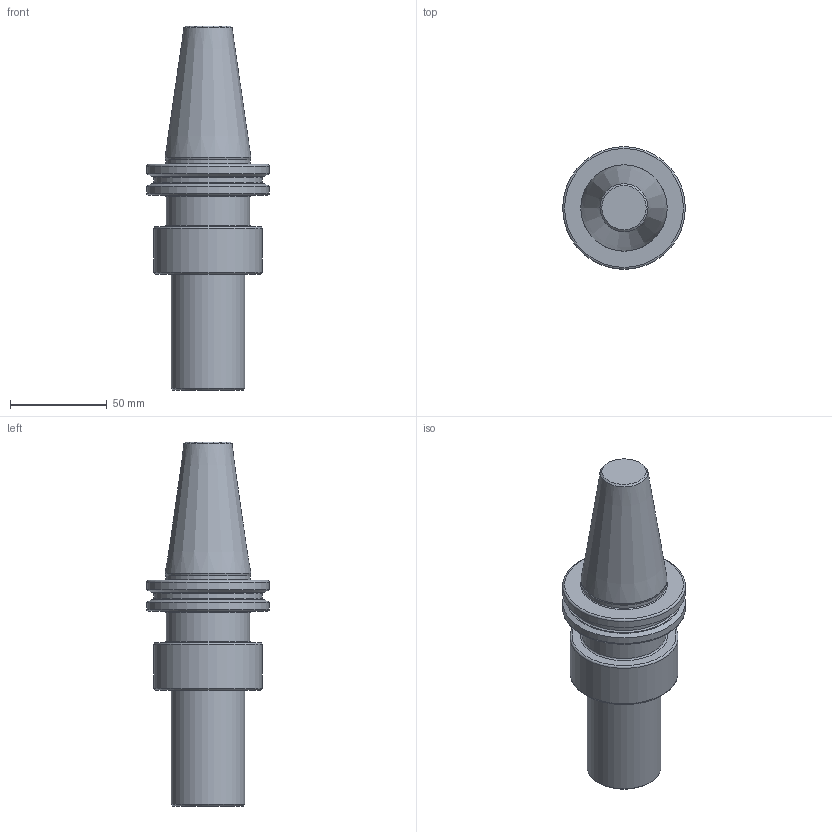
import cadquery as cq

gauge_depth = 68.05
flange_top_depth = 71.6
flange_bottom_depth = 87.5
collar_top_depth = 103.9
collar_bottom_depth = 128.4
total_height = 188.4

taper_ratio = 7 / 24
gauge_diameter = 44.45
small_end_diameter = gauge_diameter - gauge_depth * taper_ratio
small_end_chamfer = 0.85

relief_diameter = 43.75
relief_cone_length = 1.1
relief_root_fillet = 0.5

flange_diameter = 63.52
flange_rim_fillet = 1.0
upper_rim_length = 4.8
groove_mouth_width = 6.55
groove_floor_diameter = 56.0
groove_ledge_diameter = 58.7
groove_floor_width = 4.05
groove_root_fillet = 0.75

neck_diameter = 43.45
neck_root_fillet = 0.8
collar_diameter = 56.0
collar_rim_fillet = 1.0
sleeve_diameter = 38.1
sleeve_chamfer = 0.85

gauge_z = total_height - gauge_depth
flange_top_z = total_height - flange_top_depth
flange_bottom_z = total_height - flange_bottom_depth
collar_top_z = total_height - collar_top_depth
collar_bottom_z = total_height - collar_bottom_depth


def cylinder(diameter, bottom_z, top_z):
    """Plain cylinder on the Z axis between two levels."""
    return cq.Workplane("XY").workplane(offset=bottom_z).circle(diameter / 2).extrude(top_z - bottom_z)


def revolve_profile(points):
    """Solid of revolution about Z from (radius, z) points."""
    return cq.Workplane("XZ").polyline(points).close().revolve(360, (0, 0, 0), (0, 1, 0))


def fillet_circle(body, diameter, z, radius):
    """Fillet the one circular edge of the given diameter at a level."""
    half = diameter / 2
    margin = 0.1
    low_corner = (-half - margin, -half - margin, z - margin)
    high_corner = (half + margin, half + margin, z + margin)
    edge_box = cq.selectors.BoxSelector(low_corner, high_corner, boundingbox=True)
    return body.edges(edge_box).fillet(radius)


def make_taper():
    """Conical shank, chamfered at the small end, with a short cone down to the relief neck."""
    shank = revolve_profile([
        (0, flange_top_z),
        (relief_diameter / 2, flange_top_z),
        (relief_diameter / 2, gauge_z - relief_cone_length),
        (gauge_diameter / 2, gauge_z),
        (small_end_diameter / 2, total_height),
        (0, total_height),
    ])
    return shank.faces(">Z").edges().chamfer(small_end_chamfer)


def make_groove():
    """Ring cut from the flange rim: sloped flanks, flat ledges and a floor with rounded roots."""
    mouth_radius = flange_diameter / 2
    ledge_radius = groove_ledge_diameter / 2
    floor_radius = groove_floor_diameter / 2
    mouth_top_z = flange_top_z - upper_rim_length
    mouth_bottom_z = mouth_top_z - groove_mouth_width
    flank_height = (groove_mouth_width - groove_floor_width) / 2
    floor_top_z = mouth_top_z - flank_height
    floor_bottom_z = mouth_bottom_z + flank_height
    groove = revolve_profile([
        (mouth_radius, mouth_top_z),
        (ledge_radius, floor_top_z),
        (floor_radius, floor_top_z),
        (floor_radius, floor_bottom_z),
        (ledge_radius, floor_bottom_z),
        (mouth_radius, mouth_bottom_z),
    ])
    groove = fillet_circle(groove, groove_floor_diameter, floor_top_z, groove_root_fillet)
    return fillet_circle(groove, groove_floor_diameter, floor_bottom_z, groove_root_fillet)


def make_flange():
    """Gripper flange with rounded rims and a groove around it."""
    rim = cylinder(flange_diameter, flange_bottom_z, flange_top_z)
    rim = rim.faces("<Z or >Z").edges().fillet(flange_rim_fillet)
    return rim.cut(make_groove())


def make_neck():
    """Plain neck joining the flange to the collar."""
    return cylinder(neck_diameter, collar_top_z, flange_bottom_z)


def make_collar():
    """Clamping collar with both rims rounded."""
    collar = cylinder(collar_diameter, collar_bottom_z, collar_top_z)
    return collar.faces("<Z or >Z").edges().fillet(collar_rim_fillet)


def make_sleeve():
    """Cylindrical sleeve below the collar, chamfered at its free end."""
    sleeve = cylinder(sleeve_diameter, 0, collar_bottom_z)
    return sleeve.faces("<Z").edges().chamfer(sleeve_chamfer)


holder = make_taper().union(make_flange()).union(make_neck()).union(make_collar()).union(make_sleeve())
holder = fillet_circle(holder, relief_diameter, flange_top_z, relief_root_fillet)
for shoulder_z in (flange_bottom_z, collar_top_z):
    holder = fillet_circle(holder, neck_diameter, shoulder_z, neck_root_fillet)

result = holder